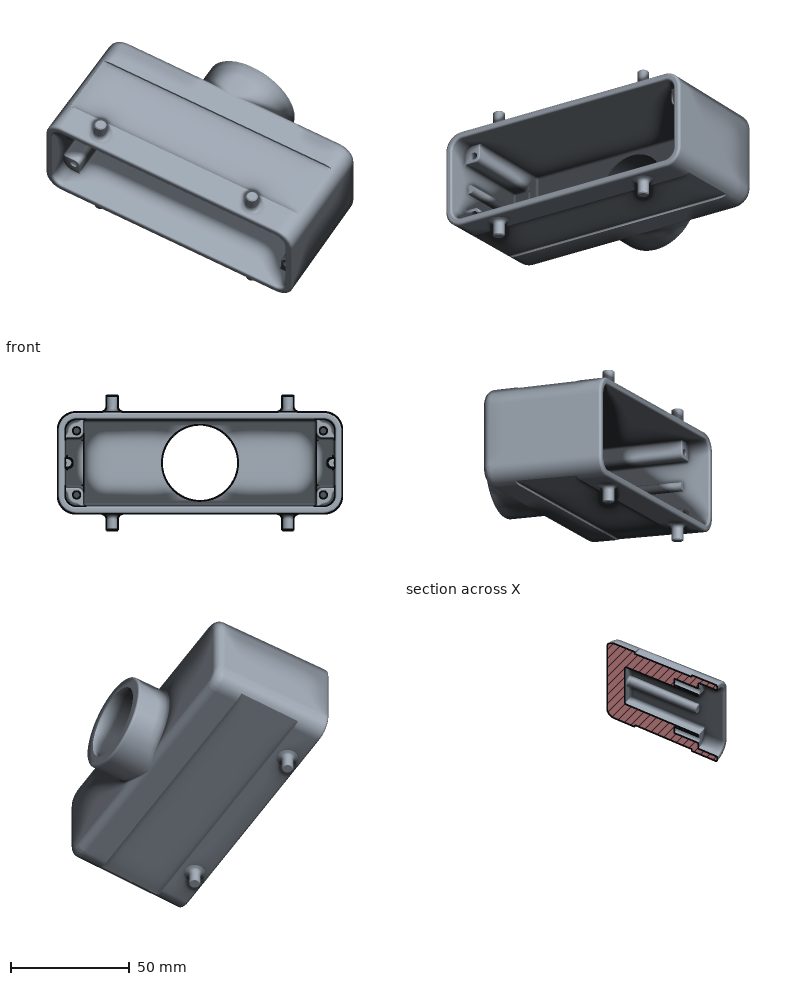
import cadquery as cq
import math


hood_length = 120.0
hood_width = 43.0
hood_depth = 55.0
draft_angle = 0.5
corner_radius = 7.75
back_edge_radius = 3.7
mouth_outer_radius = 1.1
mouth_inner_radius = 0.85

rim_thickness = 3.1
cavity_corner_radius = 4.9
post_face_y = 9.5
cavity_floor_y = 51.5
core_half_length = 49.2
core_corner_radius = 1.0
core_floor_radius = 1.1

opening_length = hood_length - 2 * rim_thickness
opening_width = hood_width - 2 * rim_thickness
draft_at_posts = post_face_y * math.tan(math.radians(draft_angle))
length_at_posts = opening_length - 2 * draft_at_posts
width_at_posts = opening_width - 2 * draft_at_posts

post_hole_x = 51.95
post_hole_z = 13.5
post_hole_diameter = 3.2
post_hole_depth = 12.0
pocket_half_width = 10.6
pocket_floor_y = 46.0
pocket_corner_radius = 1.0
pocket_floor_radius = 0.8
post_corner_radius = 2.4
post_edge_radius = 0.4
shelf_edge_radius = 0.7

rib_nose_x = 53.5
rib_length = 5.0
rib_root_radius = 2.2
rib_face_y = 12.0
rib_base_radius = 0.9

recess_half_length = 55.8
recess_start_y = 12.9
recess_end_y = 41.0
recess_floor_start_z = 20.4
recess_floor_end_z = 20.1

total_depth = 70.0
entry_diameter = 41.8
entry_bore_diameter = 32.0
entry_rim_radius = 1.0
entry_base_radius = 0.5

peg_x = 37.0
peg_y = 6.4
peg_tip_z = 28.5
peg_diameter = 5.0
peg_tip_chamfer = 0.45
peg_root_depth = 1.0
flare_height = 2.1
skirt_diameter = 7.4
skirt_height = 0.35
foot_diameter = 9.0

pick_margin = 0.1


def section_at(y):
    """Workplane across the hood at depth y, extruding toward the cable entry."""
    return cq.Workplane(cq.Plane(origin=(0, y, 0), xDir=(1, 0, 0), normal=(0, 1, 0)))


def tapered_block(length, width, start_y, end_y, angle, radius):
    """Drafted block along Y whose four lengthwise edges are rounded."""
    block = section_at(start_y).rect(length, width).extrude(end_y - start_y, taper=angle)
    return block.edges("not #Y").fillet(radius)


def entry_base_edges(body):
    """Edges where the entry tube leaves the rounded back of the hood."""
    reach = entry_diameter / 2 + entry_base_radius
    near_edges = cq.selectors.BoxSelector(
        (-reach, hood_depth - back_edge_radius, -reach),
        (reach, hood_depth + entry_base_radius, reach),
        boundingbox=True,
    )
    return body.edges(near_edges)


def outer_body():
    """Solid hood with the cable entry tube on its back and a rounded mouth edge."""
    body = tapered_block(hood_length, hood_width, 0, hood_depth, draft_angle, corner_radius)
    body = body.faces(">Y").edges().fillet(back_edge_radius)
    body = body.faces("<Y").edges().fillet(mouth_outer_radius)
    entry = section_at(cavity_floor_y).circle(entry_diameter / 2).extrude(total_depth - cavity_floor_y)
    entry = entry.faces(">Y").edges().fillet(entry_rim_radius)
    body = body.union(entry)
    return entry_base_edges(body).fillet(entry_base_radius)


def label_recess(side):
    """Wedge that sinks a flat label panel into one wide face; side is +1 or -1."""
    outside_z = hood_width
    return (
        cq.Workplane("YZ", origin=(-recess_half_length, 0, 0))
        .moveTo(recess_start_y, side * recess_floor_start_z)
        .lineTo(recess_end_y, side * recess_floor_end_z)
        .lineTo(recess_end_y, side * outside_z)
        .lineTo(recess_start_y, side * outside_z)
        .close()
        .extrude(2 * recess_half_length)
    )


def locking_peg(x, side):
    """Peg with a flared foot on one wide face; side is +1 or -1."""
    peg_radius = peg_diameter / 2
    foot_radius = foot_diameter / 2
    face_z = hood_width / 2 - peg_y * math.tan(math.radians(draft_angle))
    profile = (
        cq.Workplane("XZ")
        .moveTo(0, peg_tip_z)
        .lineTo(peg_radius - peg_tip_chamfer, peg_tip_z)
        .lineTo(peg_radius, peg_tip_z - peg_tip_chamfer)
        .lineTo(peg_radius, face_z + flare_height)
        .tangentArcPoint((skirt_diameter / 2, face_z + skirt_height), relative=False)
        .lineTo(foot_radius, face_z)
        .lineTo(foot_radius, face_z - peg_root_depth)
        .lineTo(0, face_z - peg_root_depth)
        .close()
    )
    peg = profile.revolve(360, (0, 0, 0), (0, 1, 0))
    if side < 0:
        peg = peg.mirror("XY")
    return peg.translate((x, peg_y, 0))


def mouth_inner_edges():
    """Selector for the inner edge of the mouth rim."""
    reach_x = opening_length / 2 + mouth_inner_radius
    reach_z = opening_width / 2 + mouth_inner_radius
    return cq.selectors.BoxSelector(
        (-reach_x, -pick_margin, -reach_z),
        (reach_x, pick_margin, reach_z),
        boundingbox=True,
    )


def mouth_cavity():
    """Full-section cavity from the mouth to the post faces."""
    return tapered_block(opening_length, opening_width, 0, post_face_y, draft_angle, cavity_corner_radius)


def core_cavity():
    """Central cavity between the two rows of screw posts, down to the floor."""
    core = tapered_block(
        2 * core_half_length, width_at_posts, post_face_y, cavity_floor_y, draft_angle, core_corner_radius
    )
    return core.faces(">Y").edges().fillet(core_floor_radius)


def box_around(x, y, z, reach_x, reach_y, reach_z):
    """Selector for edges whose center lies in a box around a point."""
    return cq.selectors.BoxSelector(
        (x - reach_x, y - reach_y, z - reach_z),
        (x + reach_x, y + reach_y, z + reach_z),
    )


def end_pockets():
    """Pockets between the posts at both ends, joined through the core and ending on a shelf."""
    bar = tapered_block(
        length_at_posts, 2 * pocket_half_width, post_face_y, pocket_floor_y, draft_angle, pocket_corner_radius
    )
    middle_width = 2 * (pocket_half_width + 2 * post_corner_radius)
    middle = tapered_block(
        2 * core_half_length, middle_width, post_face_y, pocket_floor_y, draft_angle, core_corner_radius
    )
    pockets = bar.union(middle)
    middle_y = (post_face_y + pocket_floor_y) / 2
    reach = post_corner_radius / 2
    post_corners = pockets.newObject([])
    for x in (core_half_length, -core_half_length):
        for z in (pocket_half_width, -pocket_half_width):
            post_corners = post_corners.add(pockets.edges(box_around(x, middle_y, z, reach, reach, reach)))
    pockets = post_corners.fillet(post_corner_radius)
    return pockets.faces(">Y").edges().fillet(pocket_floor_radius)


def shelf_edge_rounding():
    """Cutter that rounds the edge where the +X shelf drops to the core floor."""
    drop = (pocket_floor_y - post_face_y) * math.tan(math.radians(draft_angle))
    edge_x = core_half_length - drop
    shelf_half_width = pocket_half_width - drop - pocket_floor_radius
    flank = shelf_edge_radius * (1 - math.sqrt(0.5))
    return (
        cq.Workplane("XY", origin=(edge_x, pocket_floor_y, -shelf_half_width))
        .moveTo(0, shelf_edge_radius)
        .threePointArc((flank, flank), (shelf_edge_radius, 0))
        .lineTo(shelf_edge_radius, -shelf_edge_radius)
        .lineTo(-shelf_edge_radius, -shelf_edge_radius)
        .lineTo(-shelf_edge_radius, shelf_edge_radius)
        .close()
        .extrude(2 * shelf_half_width)
    )


def end_rib():
    """Rib with a rounded nose on the +X end wall, flared where it meets the shelf."""
    root_y = pocket_floor_y + pocket_floor_radius
    plane = cq.Plane(origin=(rib_nose_x + rib_length / 2, root_y, 0), xDir=(1, 0, 0), normal=(0, -1, 0))
    rib = cq.Workplane(plane).slot2D(rib_length, 2 * rib_root_radius)
    rib = rib.extrude(root_y - rib_face_y, taper=draft_angle)
    flare_arc = rib_base_radius * (1 - math.sqrt(0.5))
    flare = (
        cq.Workplane("XY", origin=(rib_nose_x + rib_root_radius, pocket_floor_y, 0))
        .moveTo(0, pocket_floor_radius)
        .lineTo(rib_root_radius + rib_base_radius, pocket_floor_radius)
        .lineTo(rib_root_radius + rib_base_radius, 0)
        .threePointArc((rib_root_radius + flare_arc, -flare_arc), (rib_root_radius, -rib_base_radius))
        .lineTo(0, -rib_base_radius)
        .close()
        .revolve(360, (0, 0, 0), (0, 1, 0))
    )
    return rib.union(flare)


def both_ends(shape):
    """The shape together with its mirror image at the -X end."""
    return [shape, shape.mirror("YZ")]


def lower_cavity():
    """Core, end pockets and rounded shelf edges, less the end-wall ribs."""
    cavity = core_cavity().union(end_pockets())
    for rounding in both_ends(shelf_edge_rounding()):
        cavity = cavity.union(rounding)
    for rib in both_ends(end_rib()):
        cavity = cavity.cut(rib)
    return cavity


result = outer_body()
for side in (1, -1):
    result = result.cut(label_recess(side))

result = result.cut(mouth_cavity().union(lower_cavity()))
result = result.edges(mouth_inner_edges()).fillet(mouth_inner_radius)

post_reach_x = post_hole_x - core_half_length + pick_margin
post_reach_z = post_hole_z - pocket_half_width + pick_margin
for x in (post_hole_x, -post_hole_x):
    for z in (post_hole_z, -post_hole_z):
        free_edges = box_around(x, post_face_y, z, post_reach_x, pick_margin, post_reach_z)
        result = result.edges(free_edges).fillet(post_edge_radius)

for x in (post_hole_x, -post_hole_x):
    for z in (post_hole_z, -post_hole_z):
        hole = section_at(post_face_y).center(x, z).circle(post_hole_diameter / 2).extrude(post_hole_depth)
        result = result.cut(hole)

bore = section_at(0).circle(entry_bore_diameter / 2).extrude(total_depth)
result = result.cut(bore)

for x in (peg_x, -peg_x):
    for side in (1, -1):
        result = result.union(locking_peg(x, side))